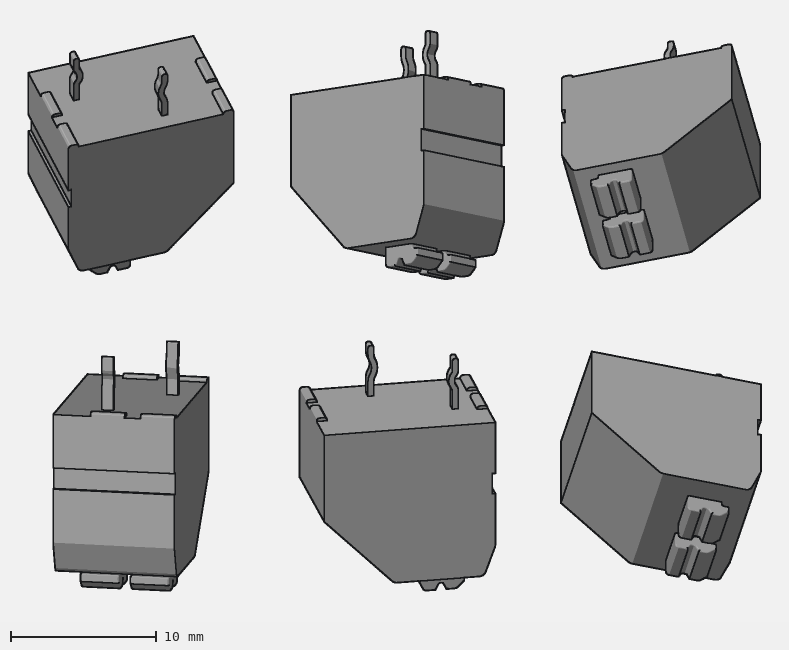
import cadquery as cq
import math


WIDTH = 8.5
DEPTH = 12.0
HEIGHT = 11.3
EDGE_RADIUS = 0.5
ENTRY_RISE = 4.9
FRONT_SLOPE_HEIGHT = 2.18
FRONT_SLOPE_ANGLE = 20.0
GROOVE_TOP_Z = -3.77
GROOVE_HEIGHT = 1.5
GROOVE_DEPTH = 0.22

PITCH = 3.5
POLE_COUNT = 2
FIRST_PIN_X = 3.4
FIRST_BUTTON_X = 2.88

FOOT_LENGTH = 2.38
FOOT_WIDTH = 0.76
FOOT_HEIGHT = 0.24
FOOT_RADIUS = FOOT_HEIGHT
FIRST_FOOT_X = WIDTH - PITCH - FOOT_LENGTH / 2

PIN_WIDTH = 0.8
PIN_THICKNESS = 0.42
PIN_LENGTH = 3.73
PIN_TIP_RADIUS = 0.2
KINK_Z = 2.08
KINK_OFFSET = 0.25
PIN_ROOT = 0.5
FRONT_PIN_Y = 2.2
PIN_ROW_SPACING = 5.2
FRONT_KINK_RADIUS = 0.85
FRONT_BEND_RADIUS = 0.32
REAR_KINK_RADIUS = 1.18
REAR_BEND_RADIUS = 0.94

BUTTON_LENGTH = 2.74
BUTTON_DROP = 1.4
BUTTON_FRONT_Y = 2.37
BUTTON_BACK_Y = 4.79
BUTTON_ROOT = 0.5
BUTTON_CORNER_RADIUS = 0.28
BUTTON_EDGE_RADIUS = 0.12
LIP_FRONT_Y = 1.86
LIP_TOP_DROP = 0.32
LIP_BOTTOM_DROP = 0.86
LIP_INNER_RADIUS = 0.2
LIP_OUTER_RADIUS = 0.12
LIP_SLOPE_RADIUS = 0.5
SLOT_Y = 3.49
SLOT_MOUTH = 0.76
SLOT_DEPTH = 0.5
SLOT_ANGLE = 25.0
SLOT_RADIUS = 0.2


def profile():
    """Sketch plane whose local axes are Y and Z, extruding toward +X."""
    return cq.Workplane("YZ")


def make_housing():
    slope_run = FRONT_SLOPE_HEIGHT * math.tan(math.radians(FRONT_SLOPE_ANGLE))
    front_edge = (0, -HEIGHT + FRONT_SLOPE_HEIGHT)
    bottom_front = (slope_run, -HEIGHT)
    bottom_back = (DEPTH - ENTRY_RISE, -HEIGHT)
    entry_top = (DEPTH, -HEIGHT + ENTRY_RISE)
    body = (
        profile()
        .polyline([(0, 0), front_edge, bottom_front, bottom_back, entry_top, (DEPTH, 0)])
        .close()
        .extrude(WIDTH)
    )
    for y, z in (front_edge, bottom_front, bottom_back):
        body = body.edges(cq.selectors.NearestToPointSelector((WIDTH / 2, y, z))).fillet(EDGE_RADIUS)
    groove = cq.Workplane("XY").box(WIDTH, GROOVE_DEPTH, GROOVE_HEIGHT, centered=False)
    return body.cut(groove.translate((0, 0, GROOVE_TOP_Z - GROOVE_HEIGHT)))


def make_foot(center_x, front_y):
    foot = (
        cq.Workplane("XY")
        .box(FOOT_LENGTH, FOOT_WIDTH, 2 * FOOT_HEIGHT)
        .edges("|X and >Z")
        .fillet(FOOT_RADIUS)
    )
    return foot.translate((center_x, front_y + FOOT_WIDTH / 2, 0))


def make_pin(center_x, center_y, direction, kink_radius, bend_radius):
    """Flat pin with a kink that bulges by KINK_OFFSET toward +Y (direction 1) or -Y (-1)."""
    radius_sum = kink_radius + bend_radius
    angle = math.acos(1 - KINK_OFFSET / radius_sum)
    half_span = radius_sum * math.sin(angle)
    half_chord = kink_radius * math.sin(angle)
    shoulder = bend_radius * (1 - math.cos(angle))
    path = (
        profile()
        .moveTo(center_y, -PIN_ROOT)
        .lineTo(center_y, KINK_Z - half_span)
        .tangentArcPoint((center_y + direction * shoulder, KINK_Z - half_chord), relative=False)
        .tangentArcPoint((center_y + direction * shoulder, KINK_Z + half_chord), relative=False)
        .tangentArcPoint((center_y, KINK_Z + half_span), relative=False)
        .lineTo(center_y, PIN_LENGTH)
    )
    pin = (
        cq.Workplane("XY", origin=(0, center_y, -PIN_ROOT))
        .rect(PIN_WIDTH, PIN_THICKNESS)
        .sweep(path)
        .edges("|X and >Z")
        .fillet(PIN_TIP_RADIUS)
    )
    return pin.translate((center_x, 0, 0))


def make_button(center_x):
    """Button with a forward lip and a rounded V slot for a screwdriver in its end face."""
    bottom = -BUTTON_DROP
    lip_chamfer = BUTTON_DROP - LIP_BOTTOM_DROP
    chamfer_end = (LIP_FRONT_Y + lip_chamfer, bottom)
    slot_half_top = SLOT_MOUTH / 2 - SLOT_DEPTH * math.tan(math.radians(SLOT_ANGLE))
    slot_top = bottom + SLOT_DEPTH
    lip_inner = (BUTTON_FRONT_Y, -LIP_TOP_DROP)
    lip_outer = (LIP_FRONT_Y, -LIP_TOP_DROP)
    back_corner = (BUTTON_BACK_Y, bottom)
    slot_corners = [(SLOT_Y - slot_half_top, slot_top), (SLOT_Y + slot_half_top, slot_top)]
    button = (
        profile()
        .polyline([
            (BUTTON_FRONT_Y, BUTTON_ROOT),
            lip_inner,
            lip_outer,
            (LIP_FRONT_Y, -LIP_BOTTOM_DROP),
            chamfer_end,
            (SLOT_Y - SLOT_MOUTH / 2, bottom),
            *slot_corners,
            (SLOT_Y + SLOT_MOUTH / 2, bottom),
            back_corner,
            (BUTTON_BACK_Y, BUTTON_ROOT),
        ])
        .close()
        .extrude(BUTTON_LENGTH)
    )
    rounded_corners = [
        (lip_inner, LIP_INNER_RADIUS),
        (lip_outer, LIP_OUTER_RADIUS),
        (chamfer_end, LIP_SLOPE_RADIUS),
        (back_corner, BUTTON_CORNER_RADIUS),
        (slot_corners[0], SLOT_RADIUS),
        (slot_corners[1], SLOT_RADIUS),
    ]
    for (y, z), radius in rounded_corners:
        corner = cq.selectors.NearestToPointSelector((BUTTON_LENGTH / 2, y, z))
        button = button.edges(corner).fillet(radius)
    button = button.faces("<X or >X").edges().fillet(BUTTON_EDGE_RADIUS)
    return button.translate((center_x - BUTTON_LENGTH / 2, 0, -HEIGHT))


result = make_housing()
for pole in range(POLE_COUNT):
    shift = pole * PITCH
    for foot_y in (0, DEPTH - FOOT_WIDTH):
        result = result.union(make_foot(FIRST_FOOT_X + shift, foot_y))
    result = result.union(make_button(FIRST_BUTTON_X + shift))

front_pin = make_pin(FIRST_PIN_X, FRONT_PIN_Y, 1, FRONT_KINK_RADIUS, FRONT_BEND_RADIUS)
rear_pin = make_pin(
    FIRST_PIN_X + PITCH, FRONT_PIN_Y + PIN_ROW_SPACING, -1, REAR_KINK_RADIUS, REAR_BEND_RADIUS
)
result = result.union(front_pin).union(rear_pin)